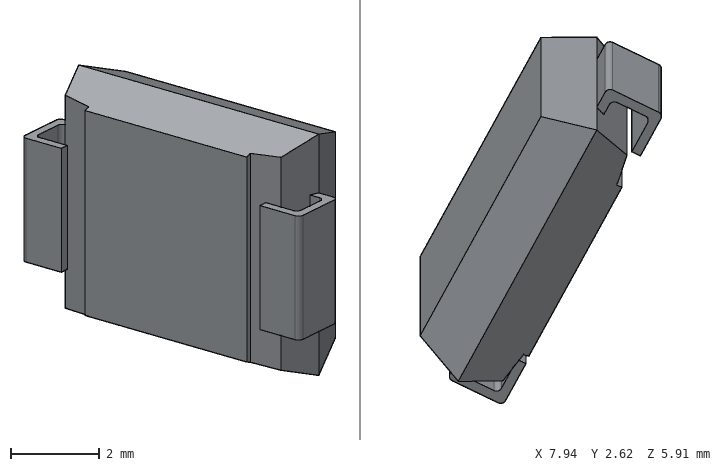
import cadquery as cq
import math

overall_length = 7.94
body_length = 6.86
body_height = 5.91
upper_depth = 1.2
lower_depth = 1.22
draft_angle = 20.0

pad_length = 4.62
shoulder_depth = 0.95
pad_step_depth = 1.09

lead_width = 3.03
lead_depth = 1.42
lead_thickness = 0.22
foot_length = 1.135
bend_radius = 0.13


def drafted_block(depth):
    """Block with its large face on the parting plane, narrowing toward -Y."""
    return (
        cq.Workplane("XZ")
        .rect(body_length, body_height)
        .extrude(depth, taper=draft_angle)
    )


def make_upper_housing():
    return drafted_block(upper_depth).mirror("XZ")


def shoulder_cutter(side):
    """Prism removed beside the pad on the end given by side (-1 or 1)."""
    pad_edge = side * pad_length / 2
    body_edge = side * body_length / 2
    shoulder_inset = shoulder_depth * math.tan(math.radians(draft_angle))
    shoulder_edge = side * (body_length / 2 - shoulder_inset)
    slope = (pad_step_depth - shoulder_depth) / (pad_edge - shoulder_edge)
    depth_at_body_edge = shoulder_depth + slope * (body_edge - shoulder_edge)
    return (
        cq.Workplane("XY")
        .moveTo(pad_edge, -lower_depth)
        .lineTo(pad_edge, -pad_step_depth)
        .lineTo(body_edge, -depth_at_body_edge)
        .lineTo(body_edge, -lower_depth)
        .close()
        .extrude(body_height / 2, both=True)
    )


def make_lower_housing():
    housing = drafted_block(lower_depth)
    for side in (-1, 1):
        housing = housing.cut(shoulder_cutter(side))
    return housing


def make_lead(side):
    """C-shaped lead that ends flush against the drafted wall of the lower housing."""
    outer = side * overall_length / 2
    inner = outer - side * lead_thickness
    foot_end = outer - side * foot_length
    wall_top = side * body_length / 2
    wall_inset = lead_thickness * math.tan(math.radians(draft_angle))
    wall_bottom = wall_top - side * wall_inset
    lead = (
        cq.Workplane("XY")
        .moveTo(wall_top, 0)
        .lineTo(outer, 0)
        .lineTo(outer, -lead_depth)
        .lineTo(foot_end, -lead_depth)
        .lineTo(foot_end, -lead_depth + lead_thickness)
        .lineTo(inner, -lead_depth + lead_thickness)
        .lineTo(inner, -lead_thickness)
        .lineTo(wall_bottom, -lead_thickness)
        .close()
        .extrude(lead_width / 2, both=True)
    )
    bend_middle = (outer + inner) / 2
    bend_zone = (
        cq.selectors.BoxSelector(
            (bend_middle - lead_thickness, -lead_depth - lead_thickness, -lead_width),
            (bend_middle + lead_thickness, lead_thickness, lead_width),
        )
    )
    return lead.edges("|Z").edges(bend_zone).fillet(bend_radius)


upper_housing = make_upper_housing()
lower_housing = make_lower_housing()
leads = [make_lead(side) for side in (-1, 1)]

result = cq.Compound.makeCompound(
    [upper_housing.val(), lower_housing.val(), *[lead.val() for lead in leads]]
)